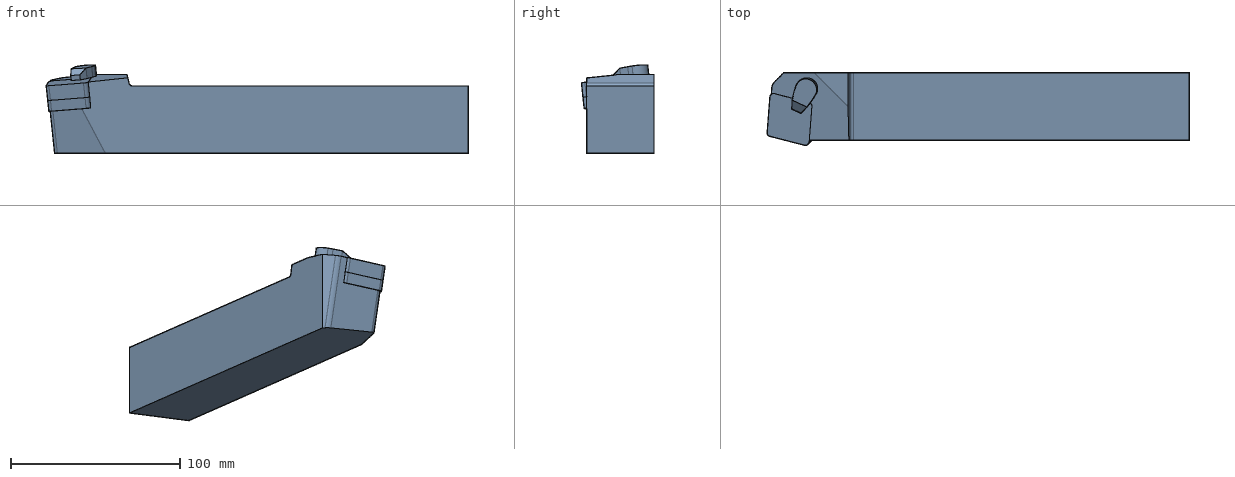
import cadquery as cq
import math

LENGTH = 249.8
SHANK = 40.0
HEAD_HEIGHT = 46.7
STEP_TOP_X = 48.0
STEP_FOOT_X = 49.2
STEP_END_X = 51.2
STEP_ARC_HEIGHT = 1.7

TILT_DEGREES = 6.0
SLOPE = math.tan(math.radians(TILT_DEGREES))
TILT_START = 68.0

EDGE = 25.7
FLANK_ANGLE = 85.0
FRONT_ANGLE = -14.5
CORNER_X = 0.0
CORNER_Y = 2.7
CORNER_RADIUS = 2.2
INSERT_THICKNESS = 8.7
SHIM_THICKNESS = 6.5

RELIEF = 0.7
BACK_CHAMFER = 10.2
BACK_RADIUS = 5.0

CLAMP_HEIGHT = 6.2
CLAMP_TIP_HEIGHT = 3.0
CLAMP_SLOPE_LENGTH = 5.5
CLAMP_TIP = (18.0, 17.5)
CLAMP_ANGLE = 65.0
CLAMP_LENGTH = 21.0
CLAMP_TIP_WIDTH = 6.0
CLAMP_SHOULDER_WIDTH = 9.7
CLAMP_WIDTH = 12.7
CLAMP_BEND = 11.2
CLAMP_BEND_WIDTH = 12.0
CLAMP_CENTRE = 14.2

OVERSIZE = 3 * SHANK

TOP_ORIGIN = cq.Vector(0, 0, HEAD_HEIGHT - SLOPE * TILT_START)
TOP_NORMAL = cq.Vector(-SLOPE, -SLOPE, 1).normalized()


def tilted_plane(depth=0.0):
    """Plane parallel to the sloping top, at a depth below it along its normal."""
    return cq.Workplane(cq.Plane(TOP_ORIGIN - TOP_NORMAL * depth, (1, 0, SLOPE), TOP_NORMAL))


def step(point, angle, distance):
    """Point reached by going a distance in a direction given in degrees."""
    turn = math.radians(angle)
    return (point[0] + distance * math.cos(turn), point[1] + distance * math.sin(turn))


def rhombic_plate(top_depth, thickness):
    """Rhombic plate with rounded corners, parallel to the sloping top."""
    lead = (CORNER_X, CORNER_Y)
    nose = step(lead, FRONT_ANGLE, EDGE)
    inner = step(nose, FLANK_ANGLE, EDGE)
    rear = step(lead, FLANK_ANGLE, EDGE)
    plate = tilted_plane(top_depth).polyline([lead, nose, inner, rear]).close().extrude(-thickness)
    return plate.edges(cq.selectors.ParallelDirSelector(TOP_NORMAL)).fillet(CORNER_RADIUS).solids()


def make_blank():
    """Shank and raised head, with a rounded root at the step between them."""
    bulge = 1 - math.sqrt(0.5)
    arc_middle = (STEP_FOOT_X + bulge * (STEP_END_X - STEP_FOOT_X), SHANK + bulge * STEP_ARC_HEIGHT)
    return (
        cq.Workplane("XZ")
        .moveTo(0, 0)
        .lineTo(LENGTH, 0)
        .lineTo(LENGTH, SHANK)
        .lineTo(STEP_END_X, SHANK)
        .threePointArc(arc_middle, (STEP_FOOT_X, SHANK + STEP_ARC_HEIGHT))
        .lineTo(STEP_TOP_X, HEAD_HEIGHT)
        .lineTo(0, HEAD_HEIGHT)
        .close()
        .extrude(-SHANK)
    )


def make_head_envelope():
    """Prism square to the sloping top that trims the front, end and back corner of the head."""
    lead = step((CORNER_X, CORNER_Y), FLANK_ANGLE, RELIEF)
    lead = step(lead, FRONT_ANGLE, RELIEF)
    front = step(lead, FRONT_ANGLE, OVERSIZE)
    chamfer_offset = SHANK - BACK_CHAMFER
    lean = math.tan(math.radians(90 - FLANK_ANGLE))
    back_x = (lead[0] + lean * (chamfer_offset - lead[1])) / (1 - lean)
    back = (back_x, back_x + chamfer_offset)
    chamfer_end = (back_x + OVERSIZE, back[1] + OVERSIZE)
    prism = (
        tilted_plane(OVERSIZE)
        .polyline([lead, front, (2 * LENGTH, front[1]), (2 * LENGTH, chamfer_end[1]), chamfer_end, back])
        .close()
        .extrude(OVERSIZE)
    )
    upright = cq.selectors.ParallelDirSelector(TOP_NORMAL)
    middle = tilted_plane(OVERSIZE / 2).plane
    leading_edge = cq.selectors.NearestToPointSelector(middle.toWorldCoords(lead).toTuple())
    back_edge = cq.selectors.NearestToPointSelector(middle.toWorldCoords(back).toTuple())
    prism = prism.edges(upright).edges(leading_edge).fillet(CORNER_RADIUS)
    return prism.edges(upright).edges(back_edge).fillet(BACK_RADIUS)


def make_clamp():
    """Round-ended clamp on the sloping top, its nose sloping down over the insert."""
    top = tilted_plane().plane
    tip = top.toWorldCoords(CLAMP_TIP)
    along = top.toWorldCoords(step(CLAMP_TIP, CLAMP_ANGLE, 2.5)) - tip
    plan = cq.Workplane(cq.Plane(tip, along, TOP_NORMAL))
    side = cq.Workplane(cq.Plane(tip, along, TOP_NORMAL.cross(along) * -1))
    body = (
        plan.moveTo(0, -CLAMP_TIP_WIDTH / 2)
        .lineTo(CLAMP_SLOPE_LENGTH, -CLAMP_SHOULDER_WIDTH / 2)
        .lineTo(CLAMP_BEND, -CLAMP_BEND_WIDTH / 2)
        .lineTo(CLAMP_CENTRE, -CLAMP_WIDTH / 2)
        .threePointArc((CLAMP_LENGTH, 0), (CLAMP_CENTRE, CLAMP_WIDTH / 2))
        .lineTo(CLAMP_BEND, CLAMP_BEND_WIDTH / 2)
        .lineTo(CLAMP_SLOPE_LENGTH, CLAMP_SHOULDER_WIDTH / 2)
        .lineTo(0, CLAMP_TIP_WIDTH / 2)
        .close()
        .extrude(CLAMP_HEIGHT)
    )
    profile = (
        side.polyline([
            (0, 0),
            (CLAMP_LENGTH, 0),
            (CLAMP_LENGTH, CLAMP_HEIGHT),
            (CLAMP_SLOPE_LENGTH, CLAMP_HEIGHT),
            (0, CLAMP_TIP_HEIGHT),
        ])
        .close()
        .extrude(CLAMP_WIDTH, both=True)
    )
    return body.intersect(profile)


def make_insert():
    """Cutting insert, flush with the sloping top of the head."""
    return rhombic_plate(0, INSERT_THICKNESS)


def make_holder():
    """Shank, head, shim and clamp as one body, with a seat that fits the insert."""
    head = make_blank().intersect(make_head_envelope())
    shim = rhombic_plate(INSERT_THICKNESS, SHIM_THICKNESS)
    return head.cut(make_insert()).union(shim).union(make_clamp()).solids()


holder = make_holder()
insert = make_insert()

result = cq.Compound.makeCompound([holder.val(), insert.val()])